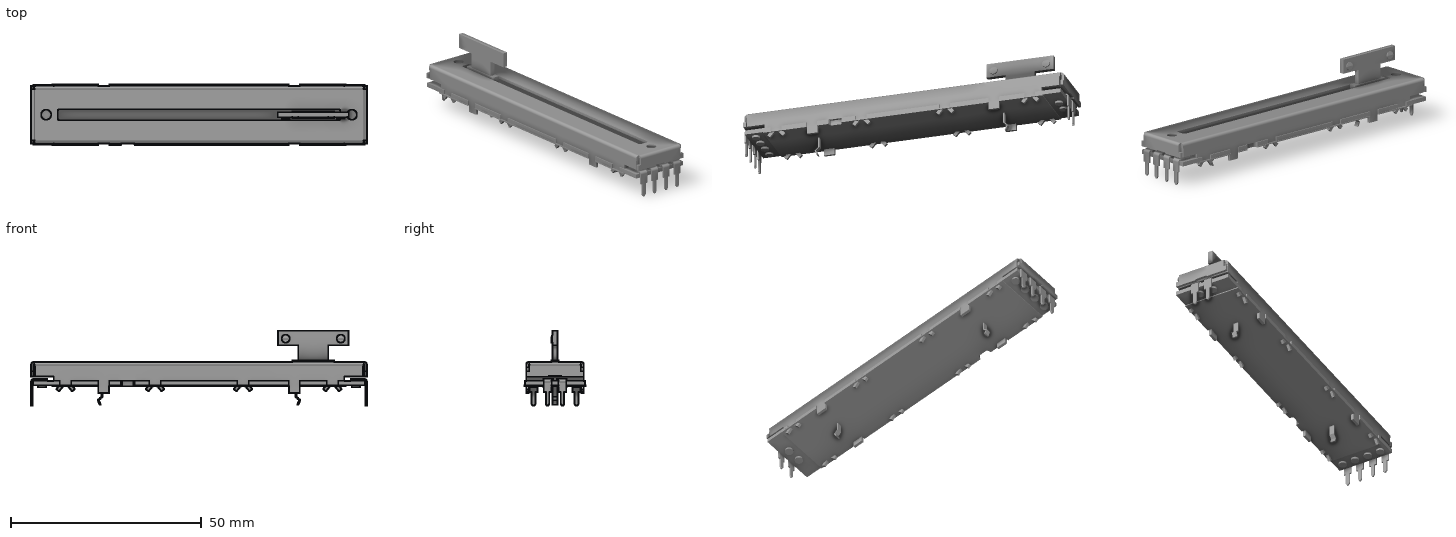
import cadquery as cq
import math


length = 88.0
half_length = length / 2
top_z = 19.7
cover_top_z = 11.5
board_top_z = 6.5
board_bottom_z = 5.4

cover_width = 15.1
sheet = 0.7
cover_rounding = 0.8
rim_z = 7.7
raised_end_x = 38.1
slot_length = 74.1
slot_width = 3.0
slot_corner = 0.7
hole_x = 40.0
hole_diameter = 2.6
corner_size = 0.9
corner_floor_z = 9.1
slit_width = 0.35
slit_top_z = 10.1
rim_notch_width = 3.3
rim_notch_height = 0.3
end_stop_inner_x = 37.05

leg_x = 25.0
leg_width = 2.9
leg_bottom_z = 3.3
tab_width = 3.0
tab_xs = (-34.9, -11.5, 11.5, 34.9)
prong_width = 1.0
prong_length = 1.7
prong_angle = 40.0

board_length = 86.9
board_width = 15.75
base_length = 76.9
base_width = 16.0
base_thickness = 0.3
side_notch_x = -18.7
side_notch_outer = 3.7
side_notch_inner = 2.8

lever_x = 29.9
lever_length = 18.5
lever_bar_height = 3.9
lever_thickness = 1.3
stem_width = 7.9
carriage_length = 10.9
carriage_width = 1.9
carriage_top_z = 11.9
dimple_spacing = 14.4
dimple_diameter = 2.1
dimple_z = 17.6
dimple_depth = 0.35
dimple_lip = 0.04

outer_terminal_ys = (-5.6, 5.6)
inner_terminal_ys = (-1.9, 1.9)
terminal_thickness = 0.4
terminal_top_z = 7.0
terminal_reach = 4.3
bend_radius = 0.7
shoulder_width = 2.1
shoulder_bottom_z = 3.6
pad_width = 2.55
pad_offset = 0.2
outer_pin_width = 1.1
inner_pin_width = 1.0
pin_tip_height = 0.5
pin_tip_width = 0.35
rivet_x = 41.1
rivet_diameter = 2.2
rivet_bottom_z = 4.8

clip_x = 25.6
clip_width = 1.3
clip_thickness = 0.35
clip_knee_z = 2.4
clip_elbow_x = 26.6
clip_elbow_z = 1.5
clip_tip_x = 26.05
clip_tip_z = 0.3


def block(size_x, size_y, z_low, z_high, x=0.0, y=0.0):
    """Box centred at (x, y) between two levels."""
    return cq.Workplane("XY", origin=(x, y, z_low)).box(
        size_x, size_y, z_high - z_low, centered=(True, True, False)
    )


def xz_plate(points, width, y=0.0):
    """Outline in X and Z, extruded along Y and centred at y."""
    plane = cq.Workplane("XZ", origin=(0, y, 0))
    return plane.polyline(points).close().extrude(width / 2, both=True)


def both_ends(body):
    """The body together with its mirror image at the other end in X."""
    return body.union(body.mirror("YZ"))


def make_cover():
    inner_length = length - 2 * sheet
    inner_width = cover_width - 2 * sheet
    cover = block(length, cover_width, board_top_z, cover_top_z)
    cover = cover.faces(">Z").edges().fillet(cover_rounding)
    cover = cover.cut(block(inner_length, inner_width, board_top_z, cover_top_z - sheet))

    end_opening = half_length - raised_end_x
    for side in (-1, 1):
        opening_x = side * (raised_end_x + end_opening / 2)
        cover = cover.cut(block(end_opening, cover_width, board_top_z, rim_z, opening_x))
        notch_x = side * (half_length - sheet / 2)
        cover = cover.cut(block(sheet, rim_notch_width, rim_z, rim_z + rim_notch_height, notch_x))
        for y_side in (-1, 1):
            corner_x = side * (half_length - corner_size / 2)
            corner_y = y_side * (cover_width - corner_size) / 2
            cover = cover.cut(
                block(corner_size, corner_size, corner_floor_z, cover_top_z, corner_x, corner_y)
            )
            slit_x = side * (half_length - sheet - slit_width / 2)
            slit_y = y_side * (cover_width - sheet) / 2
            cover = cover.cut(block(slit_width, sheet, rim_z, slit_top_z, slit_x, slit_y))

    slot = block(slot_length, slot_width, cover_top_z - sheet, cover_top_z)
    cover = cover.cut(slot.edges("|Z").fillet(slot_corner))
    holes = (
        cq.Workplane("XY", origin=(0, 0, cover_top_z - sheet))
        .pushPoints([(-hole_x, 0), (hole_x, 0)])
        .circle(hole_diameter / 2)
        .extrude(sheet)
    )
    return cover.cut(holes)


def make_end_stop():
    """Block inside the +X end of the cover, stepped to clear the opening under the raised wall."""
    return xz_plate(
        [
            (end_stop_inner_x, board_top_z),
            (raised_end_x, board_top_z),
            (raised_end_x, rim_z),
            (half_length - sheet - slit_width, rim_z),
            (half_length - sheet - slit_width, cover_top_z - sheet),
            (end_stop_inner_x, cover_top_z - sheet),
        ],
        cover_width - 2 * sheet,
    )


def make_prong(x, lean, y):
    """Half of a crimped tab, leaning outward below the board."""
    angle = math.radians(prong_angle)
    along = (lean * math.sin(angle), -math.cos(angle))
    across = (lean * math.cos(angle) * prong_width / 2, math.sin(angle) * prong_width / 2)
    root_z = board_bottom_z
    tip_x = x + along[0] * prong_length
    tip_z = root_z + along[1] * prong_length
    points = [
        (x - across[0], root_z - across[1]),
        (tip_x - across[0], tip_z - across[1]),
        (tip_x + across[0], tip_z + across[1]),
        (x + across[0], root_z + across[1]),
    ]
    return xz_plate(points, sheet, y)


def make_cover_tabs():
    wall_y = (cover_width - sheet) / 2
    prong_x = (tab_width - prong_width) / 2
    tabs = cq.Workplane("XY")
    for y in (-wall_y, wall_y):
        for x in (-leg_x, leg_x):
            tabs = tabs.union(block(leg_width, sheet, leg_bottom_z, rim_z, x, y))
        for x in tab_xs:
            tabs = tabs.union(block(tab_width, sheet, board_bottom_z, rim_z, x, y))
            for lean in (-1, 1):
                tabs = tabs.union(make_prong(x + lean * prong_x, lean, y))
    return tabs


def make_base():
    wall_inner_y = cover_width / 2 - sheet
    notch_depth = base_width / 2 - wall_inner_y
    notch_y = wall_inner_y + notch_depth / 2
    sheet_bottom_z = board_bottom_z - base_thickness
    board = block(board_length, board_width, board_bottom_z, board_top_z)
    base = block(base_length, base_width, sheet_bottom_z, board_bottom_z)
    for y in (-notch_y, notch_y):
        for x in tab_xs:
            board = board.cut(block(tab_width, notch_depth, board_bottom_z, board_top_z, x, y))
        for x in (-leg_x, leg_x):
            board = board.cut(block(leg_width, notch_depth, board_bottom_z, board_top_z, x, y))
            base = base.cut(block(leg_width, notch_depth, sheet_bottom_z, board_bottom_z, x, y))

    side_notch = (
        cq.Workplane("XY", origin=(side_notch_x, 0, sheet_bottom_z))
        .moveTo(-side_notch_outer / 2, -base_width / 2)
        .lineTo(side_notch_outer / 2, -base_width / 2)
        .lineTo(side_notch_inner / 2, -wall_inner_y)
        .lineTo(-side_notch_inner / 2, -wall_inner_y)
        .close()
        .extrude(board_top_z - sheet_bottom_z)
    )
    return board.union(base).cut(side_notch)


def make_lever():
    bar_bottom_z = top_z - lever_bar_height
    lever = block(lever_length, lever_thickness, bar_bottom_z, top_z, lever_x)
    lever = lever.union(block(stem_width, lever_thickness, carriage_top_z, bar_bottom_z, lever_x))
    carriage = block(carriage_length, carriage_width, board_top_z, carriage_top_z, lever_x)
    lever = lever.union(carriage)
    for side in (-1, 1):
        lever = lever.union(make_dimple(lever_x + side * dimple_spacing / 2))
    return lever


def make_dimple(x):
    """Round bump on the front of the lever: flat lower half, upper half sloping back to the lever."""
    radius = dimple_diameter / 2
    face_y = -lever_thickness / 2
    disc = cq.Workplane("XZ", origin=(x, face_y, dimple_z)).circle(radius).extrude(dimple_depth)
    slope = (
        cq.Workplane("YZ", origin=(x, face_y, dimple_z))
        .polyline([(-dimple_depth, 0), (-dimple_depth, radius), (-dimple_lip, radius)])
        .close()
        .extrude(dimple_diameter, both=True)
    )
    return disc.cut(slope)


def make_terminal(y, pin_width):
    """Bent terminal at the +X end: pad on the board, shoulder, pointed pin and rivet."""
    inner_x = half_length - terminal_reach
    pad_bottom_z = terminal_top_z - terminal_thickness
    shoulder_x = half_length - terminal_thickness / 2
    pad_end_x = half_length - bend_radius
    toward_middle = -math.copysign(pad_offset, y)

    arm = block(
        terminal_reach, shoulder_width, pad_bottom_z, terminal_top_z,
        half_length - terminal_reach / 2, y,
    )
    shoulder = block(
        terminal_thickness, shoulder_width, shoulder_bottom_z, terminal_top_z, shoulder_x, y
    )
    terminal = arm.union(shoulder).edges("|Y and >X and >Z").fillet(bend_radius)
    pad = block(
        pad_end_x - inner_x, pad_width, board_top_z, terminal_top_z,
        (pad_end_x + inner_x) / 2, y + toward_middle,
    )

    half_pin = pin_width / 2
    pin = (
        cq.Workplane("YZ", origin=(half_length - terminal_thickness, y, 0))
        .polyline([
            (-half_pin, shoulder_bottom_z),
            (-half_pin, pin_tip_height),
            (-pin_tip_width / 2, 0),
            (pin_tip_width / 2, 0),
            (half_pin, pin_tip_height),
            (half_pin, shoulder_bottom_z),
        ])
        .close()
        .extrude(terminal_thickness)
    )
    rivet = (
        cq.Workplane("XY", origin=(rivet_x, y, rivet_bottom_z))
        .circle(rivet_diameter / 2)
        .extrude(board_top_z - rivet_bottom_z)
    )
    return terminal.union(pad).union(pin).union(rivet)


def make_clip():
    """Sheet clip at the +X end with a kinked, springy foot."""
    points = [
        (clip_x, board_bottom_z),
        (clip_x, clip_knee_z),
        (clip_elbow_x, clip_elbow_z),
        (clip_tip_x, clip_tip_z),
        (clip_tip_x - clip_thickness, clip_tip_z),
        (clip_elbow_x - clip_thickness, clip_elbow_z),
        (clip_x - clip_thickness, clip_knee_z),
        (clip_x - clip_thickness, board_bottom_z),
    ]
    return xz_plate(points, clip_width)


result = make_cover().union(make_cover_tabs()).union(make_base()).union(make_lever())
result = result.union(both_ends(make_end_stop())).union(both_ends(make_clip()))
for terminal_y in inner_terminal_ys:
    result = result.union(both_ends(make_terminal(terminal_y, inner_pin_width)))
for terminal_y in outer_terminal_ys:
    result = result.union(make_terminal(terminal_y, outer_pin_width).mirror("YZ"))